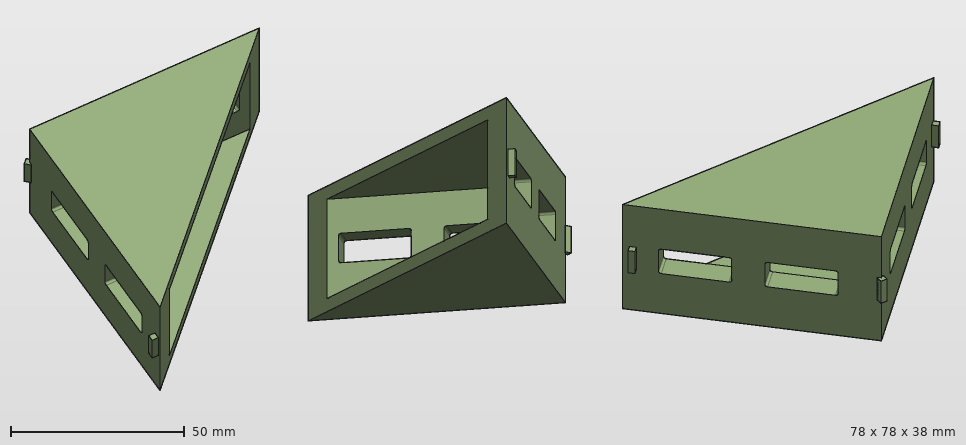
import cadquery as cq
import math

overall = 78.0
height = 38.0
tab_size = 2.0
leg = overall - tab_size
wall = 7.2
floor = 4.0

window_width = 21.45
window_height = 8.9
window_radius = 0.8
window_starts = (12.7, 43.9)

tab_height = 8.0
tab_end_gap_x = 1.0
tab_end_gap_y = 2.0
corner_tab_reach = 1.3

mid_height = height / 2


def right_triangle(side, thickness):
    """Upright prism with its square corner at the origin."""
    return cq.Workplane("XY").polyline([(0, 0), (side, 0), (0, side)]).close().extrude(thickness)


def mirror_across_diagonal(shape):
    """Swap X and Y, carrying a feature from one leg wall to the other."""
    return shape.mirror("XZ").rotate((0, 0, 0), (0, 0, 1), 90)


def window_cutter(start):
    """Rounded opening through the wall along X."""
    block = cq.Workplane("XY").box(window_width, wall, window_height, centered=(False, False, True))
    return block.edges("|Y").fillet(window_radius).translate((start, 0, mid_height))


def end_tab(end_gap):
    """Square rib near the far end of the wall along X."""
    rib = cq.Workplane("XY").box(tab_size, tab_size, tab_height)
    return rib.translate((leg - end_gap - tab_size / 2, -tab_size / 2, mid_height))


def corner_tab():
    """Square rib turned 45 degrees, straddling the square corner."""
    rib = cq.Workplane("XY").box(tab_size, tab_size, tab_height)
    offset = (corner_tab_reach - tab_size / 2) / math.sqrt(2)
    return rib.rotate((0, 0, 0), (0, 0, 1), 45).translate((-offset, -offset, mid_height))


cavity = right_triangle(leg, height - 2 * floor).translate((wall, wall, floor))
result = right_triangle(leg, height).cut(cavity)

for start in window_starts:
    cutter = window_cutter(start)
    result = result.cut(cutter).cut(mirror_across_diagonal(cutter))

tab_x = end_tab(tab_end_gap_x)
tab_y = mirror_across_diagonal(end_tab(tab_end_gap_y))
result = result.union(tab_x).union(tab_y).union(corner_tab())